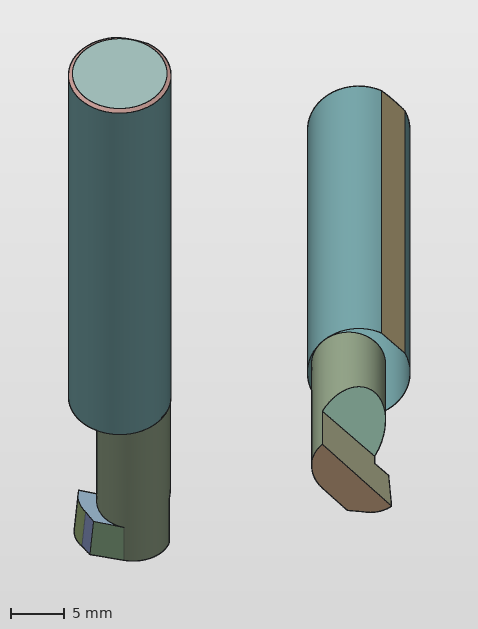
import cadquery as cq
import math

total_length = 63.5
shank_radius = 4.75
shank_bottom = 19.1
shank_flat_y = 4.5
chamfer_radial = 0.4
chamfer_height = chamfer_radial * math.tan(math.radians(30))

neck_radius = 3.4
neck_x = shank_radius - neck_radius
relief_bottom = 6.4
relief_top = relief_bottom + neck_radius

head_height = 5.15
tip_x = -4.3
flank_lean = 0.4
flank_end_x, flank_end_y = -3.0, -2.5
flank_bulge = 0.3
bevel_end_x = -2.0

end_slope_x = math.tan(math.radians(2.5))
end_slope_y = math.tan(math.radians(6))

cutter_size = 25.4


def make_shank():
    shank = (
        cq.Workplane("XZ")
        .moveTo(0, shank_bottom)
        .lineTo(shank_radius, shank_bottom)
        .lineTo(shank_radius, total_length - chamfer_height)
        .lineTo(shank_radius - chamfer_radial, total_length)
        .lineTo(0, total_length)
        .close()
        .revolve(360, (0, 0, 0), (0, 1, 0))
    )
    beyond_flat = (
        cq.Workplane("XY")
        .box(cutter_size, cutter_size, total_length, centered=(True, False, False))
        .translate((0, shank_flat_y, 0))
    )
    return shank.cut(beyond_flat)


def make_neck():
    """Round neck cut back to the rake plane y = 0 below a sloped run-out."""
    neck = cq.Workplane("XY").center(neck_x, 0).circle(neck_radius).extrude(shank_bottom)
    relief = (
        cq.Workplane("YZ")
        .polyline([(0, 0), (neck_radius, 0), (neck_radius, relief_top), (0, relief_bottom)])
        .close()
        .extrude(cutter_size / 2, both=True)
    )
    return neck.cut(relief)


def head_section(z, shift):
    """Head outline at height z, with its outer corners moved by shift along X."""
    chord_x = flank_end_x - tip_x
    chord = math.hypot(chord_x, flank_end_y)
    bulge_x = (tip_x + flank_end_x) / 2 + flank_bulge * flank_end_y / chord
    bulge_y = flank_end_y / 2 - flank_bulge * chord_x / chord
    outline = (
        cq.Workplane("XY", origin=(0, 0, z))
        .moveTo(neck_x, 0)
        .lineTo(tip_x + shift, 0)
        .threePointArc((bulge_x + shift, bulge_y), (flank_end_x + shift, flank_end_y))
        .lineTo(bevel_end_x + shift, -neck_radius)
        .lineTo(neck_x, -neck_radius)
        .close()
    )
    return outline.val()


def make_head():
    sections = [head_section(0, 0), head_section(head_height, flank_lean)]
    return cq.Workplane(cq.Solid.makeLoft(sections, True))


def make_end_cutter():
    """Block below the sloped end face, which passes through the cutting tip."""
    end_plane = cq.Plane(
        origin=(tip_x, 0, 0),
        xDir=(1, 0, end_slope_x),
        normal=(-end_slope_x, end_slope_y, 1),
    )
    return cq.Workplane(end_plane).rect(cutter_size, cutter_size).extrude(-neck_radius)


bar = make_shank().union(make_neck())
result = bar.union(make_head()).cut(make_end_cutter())